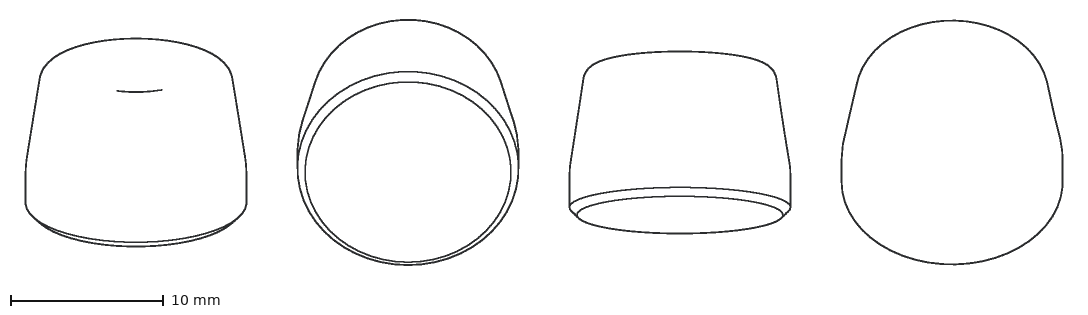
import cadquery as cq
import math

BASE_DIAMETER = 14.5
HEIGHT = 9.9
BOTTOM_CHAMFER = 0.5
TAPER_START_HEIGHT = 3.0
TAPER_ANGLE = math.radians(8.6)
TAPER_BLEND_RADIUS = 5.0
TOP_EDGE_RADIUS = 1.0
DISH_DEPTH = 1.0
DISH_RIM_RADIUS = 1.0
DISH_OPENING_DIAMETER = 8.86

base_radius = BASE_DIAMETER / 2
taper_top_radius = base_radius - (HEIGHT - TAPER_START_HEIGHT) * math.tan(TAPER_ANGLE)
blend_start_height = TAPER_START_HEIGHT - TAPER_BLEND_RADIUS * math.tan(TAPER_ANGLE / 2)
blend_centre = (base_radius - TAPER_BLEND_RADIUS, blend_start_height)
flat_outer_radius = taper_top_radius - TOP_EDGE_RADIUS * math.tan((math.pi / 2 - TAPER_ANGLE) / 2)
top_edge_centre = (flat_outer_radius, HEIGHT - TOP_EDGE_RADIUS)

opening_radius = DISH_OPENING_DIAMETER / 2
summed_radius = (opening_radius**2 + DISH_DEPTH**2) / (2 * DISH_DEPTH)
sphere_radius = summed_radius - DISH_RIM_RADIUS
sphere_centre = (0, HEIGHT - DISH_DEPTH + sphere_radius)
rim_centre = (opening_radius, HEIGHT - DISH_RIM_RADIUS)
dish_half_angle = math.asin(opening_radius / summed_radius)


def point_on_arc(centre, radius, angle):
    """Point in the (radius, height) half-plane at an angle above the outward direction."""
    return (centre[0] + radius * math.cos(angle), centre[1] + radius * math.sin(angle))


def make_profile():
    """Closed half section of the knob, from the axis outward and back over the top."""
    upward = math.pi / 2
    rim_end_angle = upward + dish_half_angle
    sphere_end_angle = dish_half_angle - upward
    return (
        cq.Workplane("XZ")
        .moveTo(0, 0)
        .lineTo(base_radius - BOTTOM_CHAMFER, 0)
        .lineTo(base_radius, BOTTOM_CHAMFER)
        .lineTo(base_radius, blend_start_height)
        .threePointArc(
            point_on_arc(blend_centre, TAPER_BLEND_RADIUS, TAPER_ANGLE / 2),
            point_on_arc(blend_centre, TAPER_BLEND_RADIUS, TAPER_ANGLE),
        )
        .lineTo(*point_on_arc(top_edge_centre, TOP_EDGE_RADIUS, TAPER_ANGLE))
        .threePointArc(
            point_on_arc(top_edge_centre, TOP_EDGE_RADIUS, (TAPER_ANGLE + upward) / 2),
            (flat_outer_radius, HEIGHT),
        )
        .lineTo(opening_radius, HEIGHT)
        .threePointArc(
            point_on_arc(rim_centre, DISH_RIM_RADIUS, (upward + rim_end_angle) / 2),
            point_on_arc(rim_centre, DISH_RIM_RADIUS, rim_end_angle),
        )
        .threePointArc(
            point_on_arc(sphere_centre, sphere_radius, (sphere_end_angle - upward) / 2),
            (0, HEIGHT - DISH_DEPTH),
        )
        .close()
    )


result = make_profile().revolve(360, (0, 0, 0), (0, 1, 0))